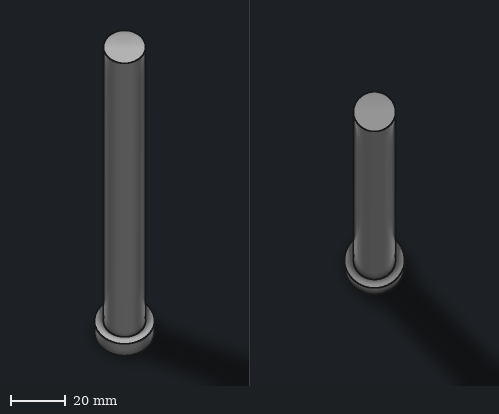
import cadquery as cq

overall_length = 167.0
head_diameter = 22.0
head_height = 7.0
shank_diameter = 15.5

shank_length = overall_length - head_height


def make_head():
    """Flat cylindrical head, sitting on the XY plane."""
    return cq.Workplane("XY").circle(head_diameter / 2).extrude(head_height)


def make_shank():
    """Plain round shank rising from the top face of the head."""
    return (
        cq.Workplane("XY")
        .workplane(offset=head_height)
        .circle(shank_diameter / 2)
        .extrude(shank_length)
    )


result = make_head().union(make_shank())